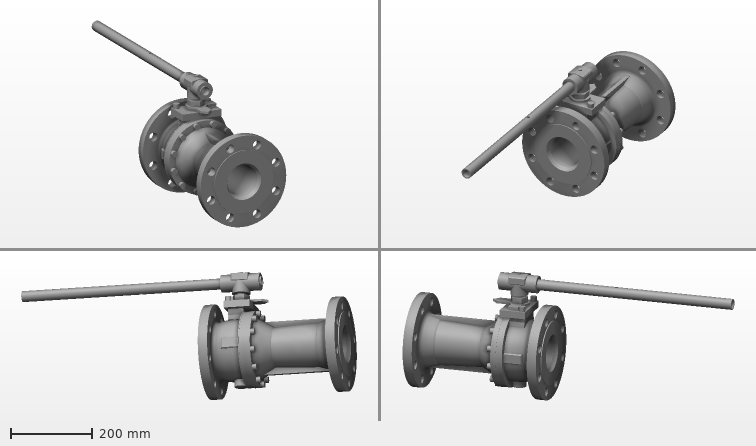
import cadquery as cq
import math


total_length = 823.0
right_end = 267.5
left_end = -85.0
handle_start = right_end - total_length
flange_radius = 235.0 / 2
total_height = 318.0
top_z = total_height - flange_radius

flange_thickness = 24.0
raised_face_height = 2.5
raised_face_radius = 162.0 / 2
flange_bolt_count = 8
flange_hole_diameter = 22.0
flange_bolt_circle_radius = 96.0
left_flange_front = left_end + raised_face_height
left_flange_back = left_flange_front + flange_thickness
right_flange_front = right_end - raised_face_height
right_flange_back = right_flange_front - flange_thickness

root_along = 0.7
root_across = 0.3

bore_radius = 82.0 / 2
bore_mouth_radius = 47.0
bore_mouth_depth = 11.0

left_root_radius = 155.0 / 2
left_neck_radius = 72.5
left_neck_start = -53.0
left_neck_end = -48.0
shell_radius = 79.0

joint_radius = 95.5
joint_start = 14.0
joint_split = 30.5
joint_lip_width = 2.5
joint_recess_depth = 1.0
joint_end = 44.5
joint_bolt_count = 12
joint_bolt_diameter = 16.0
joint_bolt_circle_radius = 87.0
joint_bolt_head_end = 54.0

hub_radius = 77.0
cone_start = 52.0
cone_start_radius = 72.5
waist_start = 88.0
waist_end = 94.0
waist_radius = 52.0
flare_start = 202.5
flare_start_radius = 58.0
flare_cone_start = 206.0
flare_cone_start_radius = 59.0
flare_cone_end = 232.0
flare_cone_end_radius = 67.0
right_root_radius = 156.0 / 2

rib_start = 58.0
rib_end = 237.0
rib_inner = 49.0
rib_outer = 67.5
rib_base_width = 13.0
rib_top_width = 10.0

lug_start = -33.0
lug_reach = 81.0
lug_height = 27.0
lug_chamfer = 2.5
boss_diameter = 34.0
boss_reach = 94.0

pad_start = -32.0
pad_end = 34.0
pad_width = 106.0
pad_bottom = 98.0
pad_top = 115.0
neck_start = -25.0
neck_top_half_width = 38.0
neck_fold_half_width = 34.5
neck_foot_half_width = 39.0
neck_fold_z = 83.0
neck_foot_z = 70.0
pad_bolt_diameter = 16.0
pad_bolt_top = 127.5
pad_bolt_x = -22.0
pad_bolt_spacing = 87.0

stem_diameter = 22.0
gland_diameter = 34.0
nut_corner_diameter = 45.0
indicator_bottom = 119.0
indicator_top = 125.0
indicator_disc_radius = 26.0
indicator_fillet = 6.5
arrow_half_width = 15.0
arrow_tip_x = 69.0
stop_arm_half_width = 13.0
stop_arm_reach = 50.0
nut_top = 139.0

handle_z = 174.0
handle_hub_radius = 21.8
handle_hub_half_length = 49.0
skirt_diameter = 45.0
skirt_bottom = 145.0
block_half_length = 22.0
block_half_width = 23.45
block_eave_z = 193.0
block_ridge_z = 197.5
block_chamfer = 2.5
pipe_diameter = 27.0
pipe_bore_diameter = 21.0
pipe_end = 53.0
pipe_hole_diameter = 8.0
pipe_hole_x = -253.5
pin_diameter = 7.0
screw_diameter = 10.0


def cylinder_x(diameter, start, end, z=0.0):
    """Cylinder along X between two X stations, at height z above the bore axis."""
    plane = cq.Workplane("YZ", origin=(start, 0, z))
    return plane.circle(diameter / 2).extrude(end - start)


def cylinder_z(diameter, bottom, top, x=0.0, y=0.0):
    """Upright cylinder between two heights."""
    return cq.Workplane("XY", origin=(x, y, bottom)).circle(diameter / 2).extrude(top - bottom)


def box_between(x_range, y_range, z_range):
    """Box given by its limits along each axis."""
    sizes = [high - low for low, high in (x_range, y_range, z_range)]
    corner = (x_range[0], y_range[0], z_range[0])
    return cq.Workplane("XY").box(*sizes, centered=False).translate(corner)


def polar_points(count, radius):
    """Evenly spaced (Y, Z) points that straddle the Y and Z axes."""
    step = 2 * math.pi / count
    angles = [(index + 0.5) * step for index in range(count)]
    return [(radius * math.cos(angle), radius * math.sin(angle)) for angle in angles]


def make_body():
    """Revolved outside of the two flanges, the ball shell, the joint and the right tube."""
    shell_rise = shell_radius - left_neck_radius
    shell_middle = (left_neck_end / 2, shell_radius - shell_rise / 4)
    left_root_middle = (
        left_neck_start - (left_neck_start - left_flange_back) * root_along,
        left_neck_radius + (left_root_radius - left_neck_radius) * root_across,
    )
    right_root_middle = (
        flare_cone_end + (right_flange_back - flare_cone_end) * root_along,
        flare_cone_end_radius + (right_root_radius - flare_cone_end_radius) * root_across,
    )
    lip_end = joint_start + joint_lip_width
    recess_radius = joint_radius - joint_recess_depth
    outline = (
        cq.Workplane("XY")
        .moveTo(left_end, 0)
        .lineTo(left_end, raised_face_radius)
        .lineTo(left_flange_front, raised_face_radius)
        .lineTo(left_flange_front, flange_radius)
        .lineTo(left_flange_back, flange_radius)
        .lineTo(left_flange_back, left_root_radius)
        .threePointArc(left_root_middle, (left_neck_start, left_neck_radius))
        .lineTo(left_neck_end, left_neck_radius)
        .threePointArc(shell_middle, (0, shell_radius))
        .lineTo(joint_start, shell_radius)
        .lineTo(joint_start, joint_radius)
        .lineTo(lip_end, joint_radius)
        .lineTo(lip_end, recess_radius)
        .lineTo(joint_split, recess_radius)
        .lineTo(joint_split, joint_radius)
        .lineTo(joint_end, joint_radius)
        .lineTo(joint_end, hub_radius)
        .lineTo(cone_start, cone_start_radius)
        .lineTo(waist_start, waist_radius)
        .lineTo(waist_end, waist_radius)
        .lineTo(flare_start, flare_start_radius)
        .lineTo(flare_cone_start, flare_cone_start_radius)
        .lineTo(flare_cone_end, flare_cone_end_radius)
        .threePointArc(right_root_middle, (right_flange_back, right_root_radius))
        .lineTo(right_flange_back, flange_radius)
        .lineTo(right_flange_front, flange_radius)
        .lineTo(right_flange_front, raised_face_radius)
        .lineTo(right_end, raised_face_radius)
        .lineTo(right_end, 0)
        .close()
    )
    return outline.revolve(360, (0, 0, 0), (1, 0, 0))


def make_bore():
    """Core that cuts the through bore with a tapered mouth at each end."""
    outline = [
        (left_end, 0),
        (left_end, bore_mouth_radius),
        (left_end + bore_mouth_depth, bore_radius),
        (right_end - bore_mouth_depth, bore_radius),
        (right_end, bore_mouth_radius),
        (right_end, 0),
    ]
    return cq.Workplane("XY").polyline(outline).close().revolve(360, (0, 0, 0), (1, 0, 0))


def make_flange_holes():
    """Cutting cores for the bolt holes of both end flanges."""
    centres = polar_points(flange_bolt_count, flange_bolt_circle_radius)
    holes = cq.Workplane("XY")
    for start in (left_flange_front, right_flange_back):
        plane = cq.Workplane("YZ", origin=(start, 0, 0)).pushPoints(centres)
        holes = holes.add(plane.circle(flange_hole_diameter / 2).extrude(flange_thickness))
    return holes.combine()


def make_joint_bolts():
    """Ring of round bolt heads on the right face of the middle joint."""
    centres = polar_points(joint_bolt_count, joint_bolt_circle_radius)
    plane = cq.Workplane("YZ", origin=(joint_split, 0, 0)).pushPoints(centres)
    return plane.circle(joint_bolt_diameter / 2).extrude(joint_bolt_head_end - joint_split)


def make_rib(side):
    """Tapered rib along the top (side = 1) or bottom (side = -1) of the right body."""
    outline = [
        (-rib_base_width / 2, side * rib_inner),
        (rib_base_width / 2, side * rib_inner),
        (rib_top_width / 2, side * rib_outer),
        (-rib_top_width / 2, side * rib_outer),
    ]
    plane = cq.Workplane("YZ", origin=(rib_start, 0, 0))
    return plane.polyline(outline).close().extrude(rib_end - rib_start)


def make_lugs():
    """Flat lug on each side of the shell, made as one bar before the bore is cut."""
    half_height = lug_height / 2
    bar = box_between(
        (lug_start, joint_start), (-lug_reach, lug_reach), (-half_height, half_height)
    )
    return bar.faces("<Y or >Y").edges("|X or <X").chamfer(lug_chamfer)


def make_mounting_pad():
    """Pad plate, its waisted neck down to the shell, and two round bolts."""
    half_width = pad_width / 2
    pad = box_between((pad_start, pad_end), (-half_width, half_width), (pad_bottom, pad_top))
    neck_outline = [
        (-neck_foot_half_width, neck_foot_z),
        (neck_foot_half_width, neck_foot_z),
        (neck_fold_half_width, neck_fold_z),
        (neck_top_half_width, pad_bottom),
        (-neck_top_half_width, pad_bottom),
        (-neck_fold_half_width, neck_fold_z),
    ]
    plane = cq.Workplane("YZ", origin=(neck_start, 0, 0))
    pad = pad.union(plane.polyline(neck_outline).close().extrude(joint_start - neck_start))
    for side in (-1, 1):
        bolt_y = side * pad_bolt_spacing / 2
        pad = pad.union(cylinder_z(pad_bolt_diameter, pad_top, pad_bolt_top, pad_bolt_x, bolt_y))
    return pad


def make_indicator():
    """Indicator plate: a disc with an arrow along +X and a square stop arm along +Y."""
    arrow_base_x = arrow_tip_x - arrow_half_width
    height = indicator_top - indicator_bottom
    arrow_outline = [
        (0, -arrow_half_width),
        (arrow_base_x, -arrow_half_width),
        (arrow_tip_x, 0),
        (arrow_base_x, arrow_half_width),
        (0, arrow_half_width),
    ]
    plane = cq.Workplane("XY", origin=(0, 0, indicator_bottom))
    arrow = plane.polyline(arrow_outline).close().extrude(height)
    stop_arm = box_between(
        (-stop_arm_half_width, stop_arm_half_width),
        (0, stop_arm_reach),
        (indicator_bottom, indicator_top),
    )
    disc = cylinder_z(2 * indicator_disc_radius, indicator_bottom, indicator_top)
    plate = disc.union(arrow).union(stop_arm)
    arrow_root_x = math.sqrt(indicator_disc_radius**2 - arrow_half_width**2)
    stop_root_y = math.sqrt(indicator_disc_radius**2 - stop_arm_half_width**2)
    roots = [
        (arrow_root_x, -arrow_half_width),
        (arrow_root_x, arrow_half_width),
        (-stop_arm_half_width, stop_root_y),
        (stop_arm_half_width, stop_root_y),
    ]
    middle_z = (indicator_bottom + indicator_top) / 2
    for x, y in roots:
        corner = cq.selectors.NearestToPointSelector((x, y, middle_z))
        plate = plate.edges("|Z").edges(corner).fillet(indicator_fillet)
    return plate


def make_stem():
    """Stem, gland, packing nut and indicator plate."""
    nut = (
        cq.Workplane("XY", origin=(0, 0, indicator_top))
        .polygon(6, nut_corner_diameter)
        .extrude(nut_top - indicator_top)
    )
    return (
        cylinder_z(stem_diameter, pad_top, skirt_bottom)
        .union(cylinder_z(gland_diameter, pad_top, indicator_bottom))
        .union(nut)
        .union(make_indicator())
    )


def make_handle():
    """Cross-shaped hub with a gabled block, carrying the drilled handle pipe and its pin."""
    block_outline = [
        (-block_half_width, handle_z),
        (block_half_width, handle_z),
        (block_half_width, block_eave_z),
        (0, block_ridge_z),
        (-block_half_width, block_eave_z),
    ]
    block = (
        cq.Workplane("YZ", origin=(-block_half_length, 0, 0))
        .polyline(block_outline)
        .close()
        .extrude(2 * block_half_length)
        .faces("<Y or >Y")
        .chamfer(block_chamfer)
    )
    hub = cylinder_x(
        2 * handle_hub_radius, -handle_hub_half_length, handle_hub_half_length, handle_z
    )
    skirt = cylinder_z(skirt_diameter, skirt_bottom, handle_z)
    pipe = cylinder_x(pipe_diameter, handle_start, pipe_end, handle_z)
    pipe_bore = cylinder_x(pipe_bore_diameter, handle_start, pipe_end, handle_z)
    pipe_hole = cylinder_z(
        pipe_hole_diameter, handle_z - pipe_diameter, handle_z + pipe_diameter, pipe_hole_x
    )
    pin = cylinder_z(pin_diameter, handle_z - pipe_diameter / 2, handle_z + pipe_diameter / 2)
    screw = cylinder_z(screw_diameter, block_eave_z, top_z)
    handle = hub.union(skirt).union(block).union(pipe)
    return handle.cut(pipe_bore).cut(pipe_hole).union(pin).union(screw)


valve = make_body().cut(make_flange_holes())
valve = valve.union(make_joint_bolts())
valve = valve.union(make_rib(1)).union(make_rib(-1))
valve = valve.union(make_lugs())
valve = valve.union(cylinder_z(boss_diameter, -boss_reach, 0))
valve = valve.cut(make_bore())
valve = valve.union(make_mounting_pad())
valve = valve.union(make_stem())
result = valve.union(make_handle())